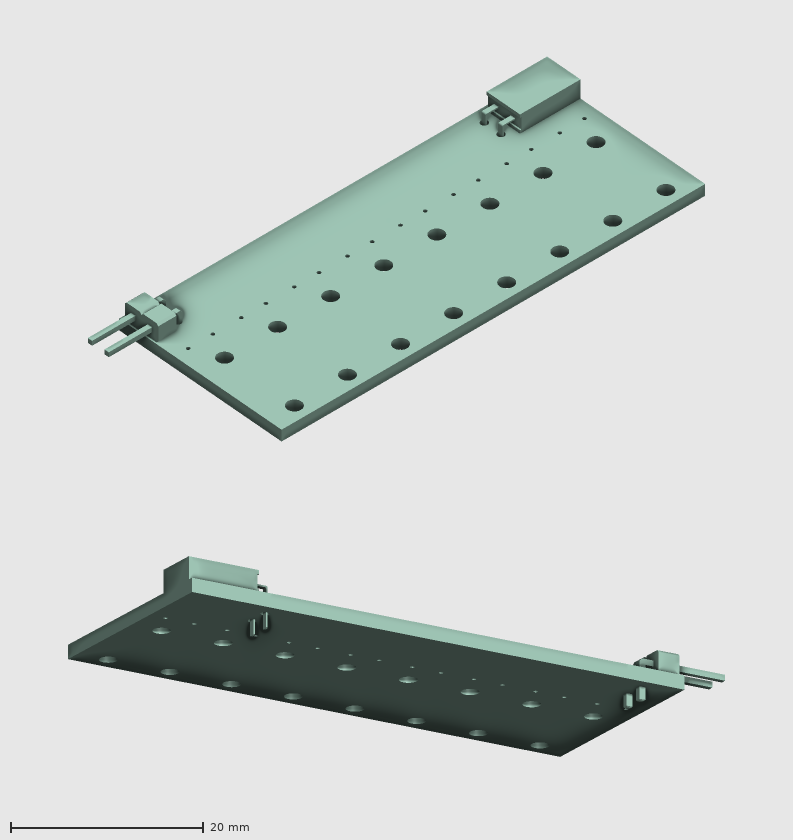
import cadquery as cq

BOARD_WIDTH = 25.0
BOARD_LENGTH = 60.0
BOARD_THICKNESS = 1.6

LARGE_HOLE_DIAMETER = 2.0
LARGE_HOLE_COLUMNS_X = (12.2, 22.95)
HOLE_ROWS = 8
HOLE_ROW_PITCH = 7.5
FIRST_ROW_Y = (BOARD_LENGTH - (HOLE_ROWS - 1) * HOLE_ROW_PITCH) / 2

SMALL_HOLE_DIAMETER = 0.5
SMALL_HOLE_X = 8.5
SMALL_HOLE_SPACING = 3.5

WAYS = 2
CONNECTOR_WIDTH = 5.15
CONNECTOR_X = 0.65
PITCH = CONNECTOR_WIDTH / WAYS
CONNECTOR_HEIGHT = PITCH
PIN_XS = [CONNECTOR_X + PITCH * (way + 0.5) for way in range(WAYS)]
PIN_Z = BOARD_THICKNESS + CONNECTOR_HEIGHT / 2
PIN_WIDTH = 0.65
PIN_HOLE_DIAMETER = 1.0

SOCKET_LENGTH = 8.6
SOCKET_FRONT_Y = BOARD_LENGTH - SOCKET_LENGTH
SOCKET_LIP = 0.45
SOCKET_RECESS_DEPTH = 0.2
SOCKET_PIN_THICKNESS = 0.2
SOCKET_BEND_RADIUS = SOCKET_PIN_THICKNESS
SOCKET_LEG_Y = BOARD_LENGTH - 10.1
SOCKET_LEG_DEPTH = 1.7
SOCKET_TIP_CHAMFER = 0.1

HEADER_FRONT_Y = 0.2
HEADER_LENGTH = PITCH
HEADER_CHAMFER = 0.25
HEADER_LEG_Y = 4.15
HEADER_LEG_THICKNESS = 0.7
HEADER_LEG_DEPTH = 1.45
HEADER_BEND_CHAMFER = 0.3
HEADER_TIP_CHAMFER = 0.1
HEADER_PIN_REACH = 5.9


def make_board():
    """Flat board with its hole pattern and a clearance hole for each pin leg."""
    board = cq.Workplane().box(BOARD_WIDTH, BOARD_LENGTH, BOARD_THICKNESS, centered=False)
    row_ys = [FIRST_ROW_Y + row * HOLE_ROW_PITCH for row in range(HOLE_ROWS)]
    large_holes = [(x, y) for x in LARGE_HOLE_COLUMNS_X for y in row_ys]
    small_offset = SMALL_HOLE_SPACING / 2
    small_holes = [(SMALL_HOLE_X, y + offset) for y in row_ys for offset in (-small_offset, small_offset)]
    pin_holes = [(x, y) for x in PIN_XS for y in (SOCKET_LEG_Y, HEADER_LEG_Y)]
    for points, diameter in (
        (large_holes, LARGE_HOLE_DIAMETER),
        (small_holes, SMALL_HOLE_DIAMETER),
        (pin_holes, PIN_HOLE_DIAMETER),
    ):
        cutters = cq.Workplane().pushPoints(points).circle(diameter / 2).extrude(BOARD_THICKNESS)
        board = board.cut(cutters)
    return board


def bent_pin(pin_x, start_y, leg_y, rod_thickness, leg_thickness, leg_depth):
    """Level rod from start_y to a leg that goes down through the board."""
    leg_back = leg_y + leg_thickness / 2
    leg_front = leg_y - leg_thickness / 2
    outer, inner = (leg_back, leg_front) if leg_y > start_y else (leg_front, leg_back)
    rod_top = PIN_Z + rod_thickness / 2
    rod_bottom = PIN_Z - rod_thickness / 2
    outline = [
        (start_y, rod_top),
        (outer, rod_top),
        (outer, -leg_depth),
        (inner, -leg_depth),
        (inner, rod_bottom),
        (start_y, rod_bottom),
    ]
    start = cq.Workplane("YZ", origin=(pin_x, 0, 0))
    return start.polyline(outline).close().extrude(PIN_WIDTH / 2, both=True)


def make_socket():
    """Block with a shallow recess across its front face and flat pins bent down into the board."""
    housing = cq.Workplane().box(CONNECTOR_WIDTH, SOCKET_LENGTH, CONNECTOR_HEIGHT, centered=False)
    housing = housing.translate((CONNECTOR_X, SOCKET_FRONT_Y, BOARD_THICKNESS))
    recess = cq.Workplane().box(
        CONNECTOR_WIDTH, SOCKET_RECESS_DEPTH, CONNECTOR_HEIGHT - 2 * SOCKET_LIP, centered=False
    )
    socket = housing.cut(recess.translate((CONNECTOR_X, SOCKET_FRONT_Y, BOARD_THICKNESS + SOCKET_LIP)))
    for pin_x in PIN_XS:
        pin = bent_pin(
            pin_x,
            SOCKET_FRONT_Y + SOCKET_RECESS_DEPTH,
            SOCKET_LEG_Y,
            SOCKET_PIN_THICKNESS,
            SOCKET_PIN_THICKNESS,
            SOCKET_LEG_DEPTH,
        )
        pin = pin.edges("|X and <Y and >Z").fillet(SOCKET_BEND_RADIUS)
        pin = pin.faces("<Z").edges("|Y").chamfer(SOCKET_TIP_CHAMFER)
        socket = socket.union(pin)
    return socket


def make_header():
    """Row of chamfered blocks, each with a square pin that reaches past the end of the board."""
    header = cq.Workplane()
    for pin_x in PIN_XS:
        block = cq.Workplane().box(PITCH, HEADER_LENGTH, CONNECTOR_HEIGHT)
        block = block.edges("|Y").chamfer(HEADER_CHAMFER)
        block = block.translate((pin_x, HEADER_FRONT_Y + HEADER_LENGTH / 2, PIN_Z))
        pin = bent_pin(
            pin_x,
            -HEADER_PIN_REACH,
            HEADER_LEG_Y,
            PIN_WIDTH,
            HEADER_LEG_THICKNESS,
            HEADER_LEG_DEPTH,
        )
        pin = pin.edges("|X and >Y and >Z").chamfer(HEADER_BEND_CHAMFER)
        pin = pin.faces("<Z").chamfer(HEADER_TIP_CHAMFER)
        header = header.union(block).union(pin)
    return header


board = make_board().solids()
socket = make_socket().solids()
header = make_header().solids()
result = cq.Compound.makeCompound([board.val(), socket.val(), header.val()])